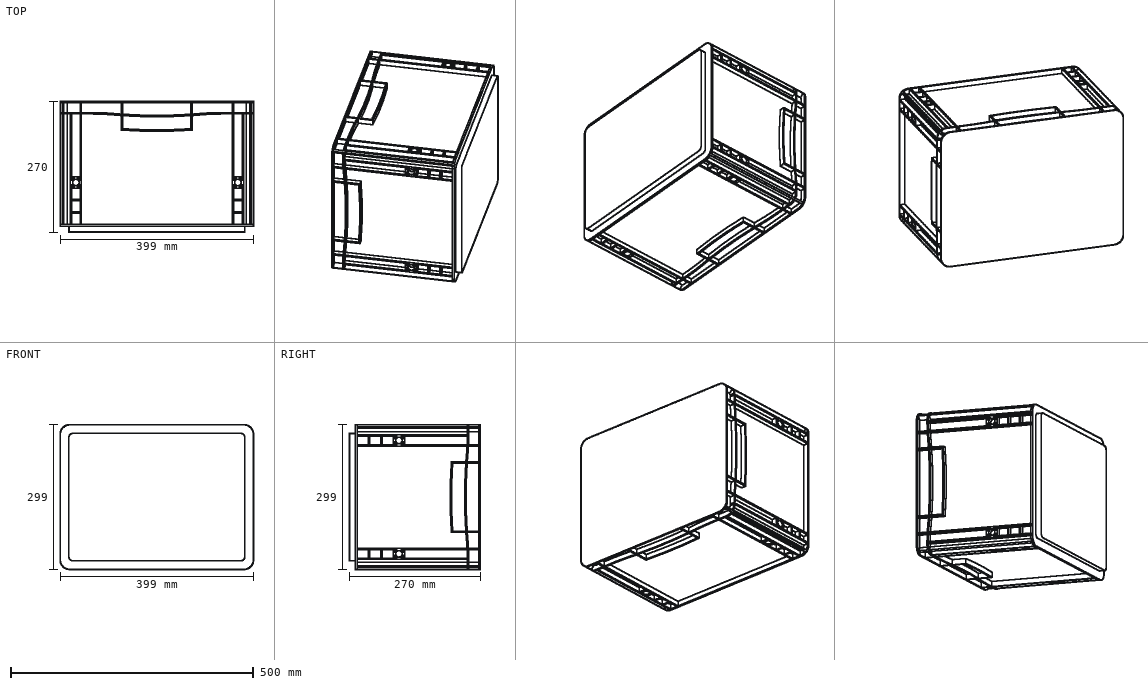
import cadquery as cq
import math


width = 399.0
height = 299.0
total_depth = 270.0
foot_depth = 12.0
body_depth = total_depth - foot_depth
corner_radius = 20.0

foot_inset = 18.0
foot_radius = 8.8

recess = 10.8
rib = 3.0
lip = 4.0
flange_drop = 23.5

outer_rib_inset = 20.7
inner_rib_inset = 41.0
channel = inner_rib_inset - outer_rib_inset - rib

cell_count = 3
cell_length = 22.7
boss_cell_length = 18.5
boss_hole_diameter = 13.5
boss_diameter = boss_hole_diameter + 2 * rib

bow_half_length = 87.8
ease_length = 48.0
bow_drop = 6.0
bow_slope = 2 * bow_drop / (bow_half_length + ease_length)
ease_drop = bow_slope * ease_length / 2

handle_half_length = 73.0
handle_gap = 30.0

flange_y = body_depth - flange_drop
lowest_y = flange_y - bow_drop


def rounded_block(size_x, size_z, y_start, length, radius):
    """Block along Y with rounded edges, centred on the Y axis."""
    return (
        cq.Workplane("XY")
        .box(size_x, length, size_z)
        .edges("|Y")
        .fillet(radius)
        .translate((0, y_start + length / 2, 0))
    )


def bow_height(distance):
    """Rise of the flange bow above its lowest point, at a distance from the middle."""
    return bow_slope * distance**2 / (2 * bow_half_length)


def rib_block(x_low, x_high, y_low, y_high):
    """Rectangular rib as deep as the corner radius, so it runs into the core."""
    return (
        cq.Workplane("XY")
        .center((x_low + x_high) / 2, (y_low + y_high) / 2)
        .rect(x_high - x_low, y_high - y_low)
        .extrude(-corner_radius)
    )


def curved_flange(length):
    """Flange along a whole side, bowed towards the foot in the middle."""
    end = length / 2
    bow = bow_half_length
    ease = bow + ease_length
    ease_middle = bow + ease_length / 2
    joint_y = flange_y - ease_drop
    ease_middle_y = flange_y - ease_drop / 4
    return (
        cq.Workplane("XY")
        .moveTo(-end, flange_y)
        .lineTo(-ease, flange_y)
        .threePointArc((-ease_middle, ease_middle_y), (-bow, joint_y))
        .threePointArc((0, lowest_y), (bow, joint_y))
        .threePointArc((ease_middle, ease_middle_y), (ease, flange_y))
        .lineTo(end, flange_y)
        .lineTo(end, flange_y - rib)
        .lineTo(ease, flange_y - rib)
        .threePointArc((ease_middle, ease_middle_y - rib), (bow, joint_y - rib))
        .threePointArc((0, lowest_y - rib), (-bow, joint_y - rib))
        .threePointArc((-ease_middle, ease_middle_y - rib), (-ease, flange_y - rib))
        .lineTo(-end, flange_y - rib)
        .close()
        .extrude(-corner_radius)
    )


def handle_frame():
    """Two upright ribs from the mouth joined by a bowed rib parallel to the flange."""
    half = handle_half_length
    middle_y = lowest_y - handle_gap
    end_y = middle_y + bow_height(half)
    frame = (
        cq.Workplane("XY")
        .moveTo(-half, end_y)
        .threePointArc((0, middle_y), (half, end_y))
        .lineTo(half, end_y - rib)
        .threePointArc((0, middle_y - rib), (-half, end_y - rib))
        .close()
        .extrude(-corner_radius)
    )
    for x in (-half, half - rib):
        frame = frame.union(rib_block(x, x + rib, end_y - rib, body_depth))
    return frame


def corner_ribs(length):
    """Rib ladder beside the corner at the negative end of a side."""
    outer = outer_rib_inset - length / 2
    inner = inner_rib_inset - length / 2
    ladder = rib_block(outer, outer + rib, 0, flange_y)
    ladder = ladder.union(rib_block(inner, inner + rib, 0, body_depth))

    y = lip
    for cell in [cell_length] * cell_count + [boss_cell_length]:
        y += cell
        ladder = ladder.union(rib_block(outer, inner, y, y + rib))
        y += rib

    boss_x = inner - channel / 2
    boss_y = y - rib - boss_cell_length / 2
    boss = cq.Workplane("XY").center(boss_x, boss_y).circle(boss_diameter / 2)
    hole = cq.Workplane("XY").center(boss_x, boss_y).circle(boss_hole_diameter / 2)
    return ladder.union(boss.extrude(-corner_radius)).cut(hole.extrude(-corner_radius))


def side_ribs(length, face_distance, angle):
    """All ribs of one side, turned about the Y axis from the +Z side."""
    ladder = corner_ribs(length)
    ribs = curved_flange(length).union(handle_frame())
    ribs = ribs.union(ladder).union(ladder.mirror("YZ"))
    return ribs.translate((0, 0, face_distance)).rotate((0, 0, 0), (0, 1, 0), angle)


def diagonal_rib(x_sign, z_sign):
    """Rib on the diagonal of one corner, running the length of the body."""
    thickness = rib * math.sqrt(2)
    angle = -math.degrees(math.atan2(z_sign, x_sign))
    centre_x = x_sign * (width / 2 - corner_radius)
    centre_z = z_sign * (height / 2 - corner_radius)
    return (
        cq.Workplane("XY")
        .box(corner_radius, body_depth, thickness)
        .translate((corner_radius / 2, body_depth / 2, 0))
        .rotate((0, 0, 0), (0, 1, 0), angle)
        .translate((centre_x, 0, centre_z))
    )


core = rounded_block(width - 2 * recess, height - 2 * recess, 0, body_depth, corner_radius - recess)

envelope = rounded_block(width, height, 0, body_depth, corner_radius)
ribbed = core
for side_angle in (0, 180):
    ribbed = ribbed.union(side_ribs(width, height / 2, side_angle))
for side_angle in (90, 270):
    ribbed = ribbed.union(side_ribs(height, width / 2, side_angle))
for sign_x in (-1, 1):
    for sign_z in (-1, 1):
        ribbed = ribbed.union(diagonal_rib(sign_x, sign_z))
body = ribbed.intersect(envelope)

foot_flange = rounded_block(width, height, 0, lip, corner_radius)
mouth_rim = rounded_block(width, height, body_depth - rib, rib, corner_radius)
foot = rounded_block(
    width - 2 * foot_inset, height - 2 * foot_inset, -foot_depth, foot_depth, foot_radius
)

result = body.union(foot_flange).union(mouth_rim).union(foot)